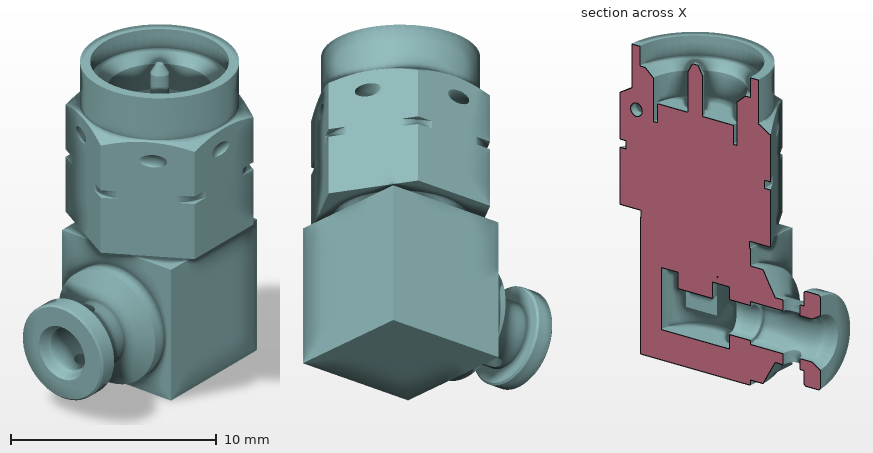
import cadquery as cq
import math

total_height = 16.15
port_end_y = -7.65

body_width = 6.75
body_height = 7.19
neck_diameter = 6.65

hex_flats = 8.0
hex_bottom = 7.55
hex_top = 13.85
hex_corner_radius = hex_flats / math.sqrt(3)
hex_turn = 30.0
ring_diameter = 7.75
chamfer_angle = 30.0

groove_bottom = 10.56
groove_height = 0.4
groove_root_radius = 4.25

wire_hole_diameter = 0.68
wire_hole_z = 12.76
wire_hole_radius_from_axis = 3.6
wire_hole_count = 3

socket_radius = 3.38
socket_depth = 1.03
lead_in_top_radius = 3.07
lead_in_bottom_radius = 2.55
lead_in_height = 0.44
sleeve_radius = 2.34
sleeve_top = 13.4
sleeve_gap_depth = 1.0

contact_radius = 0.45
contact_tip_radius = 0.18
contact_top = 16.02
contact_tip_angle = 30.0

port_axis_z = 3.28
shoulder_radius = 3.0
shoulder_length = 0.78
port_neck_radius = 1.71
port_cone_angle = 30.0
flange_radius = 2.5
flange_thickness = 1.02
flange_chamfer = 0.1
countersink_radius = 1.42
countersink_angle = 30.0
port_bore_radius = 1.11
port_inner_radius = 0.9
cross_hole_diameter = 1.0
cross_hole_y = -5.88

chamber_radius = 2.07
chamber_bottom = 1.62
chamber_top = 4.85
fork_radius = 1.08
fork_bottom = 2.89
fork_slot_width = 1.03
fork_slot_top = 3.99


def tan_deg(angle):
    return math.tan(math.radians(angle))


def cylinder(radius, bottom, top):
    """Solid cylinder on the Z axis."""
    return cq.Workplane("XY").workplane(offset=bottom).circle(radius).extrude(top - bottom)


def revolve_about_z(points):
    """Revolve a closed (radius, z) outline about the Z axis."""
    return cq.Workplane("XZ").polyline(points).close().revolve(360, (0, 0, 0), (0, 1, 0))


def revolve_about_port(points):
    """Revolve a closed (radius, y) outline about the port axis."""
    return (
        cq.Workplane("XY", origin=(0, 0, port_axis_z))
        .polyline(points)
        .close()
        .revolve(360, (0, 0, 0), (0, 1, 0))
    )


def make_body():
    block = cq.Workplane("XY").rect(body_width, body_width).extrude(body_height)
    return block.union(cylinder(neck_diameter / 2, 0, hex_bottom))


def make_hexagon():
    """Hexagon with corners on the Y axis and its top corners bevelled."""
    hexagon = (
        cq.Workplane("XY")
        .workplane(offset=hex_bottom)
        .polygon(6, 2 * hex_corner_radius)
        .extrude(hex_top - hex_bottom)
        .rotate((0, 0, 0), (0, 0, 1), hex_turn)
    )
    ring_radius = ring_diameter / 2
    bevel_drop = (hex_corner_radius - ring_radius) * tan_deg(chamfer_angle)
    bevel_envelope = revolve_about_z([
        (0, hex_bottom),
        (hex_corner_radius, hex_bottom),
        (hex_corner_radius, hex_top - bevel_drop),
        (ring_radius, hex_top),
        (0, hex_top),
    ])
    return hexagon.intersect(bevel_envelope)


def make_corner_groove():
    groove_top = groove_bottom + groove_height
    outside = cylinder(hex_flats, groove_bottom, groove_top)
    return outside.cut(cylinder(groove_root_radius, groove_bottom, groove_top))


def make_wire_hole(angle):
    """Hole square to a corner's radius, reaching both neighbouring faces."""
    return (
        cq.Workplane("YZ")
        .center(wire_hole_radius_from_axis, wire_hole_z)
        .circle(wire_hole_diameter / 2)
        .extrude(hex_flats / 2, both=True)
        .rotate((0, 0, 0), (0, 0, 1), angle)
    )


def make_nut():
    nut = make_hexagon().union(cylinder(ring_diameter / 2, hex_bottom, total_height))
    nut = nut.cut(make_corner_groove())
    for index in range(wire_hole_count):
        nut = nut.cut(make_wire_hole(index * 360 / wire_hole_count))
    return nut


def make_socket():
    """Stepped opening of the nut with a ring-shaped gap around the sleeve."""
    socket_floor = total_height - socket_depth
    lead_in_bottom = socket_floor - lead_in_height
    gap_floor = sleeve_top - sleeve_gap_depth
    return revolve_about_z([
        (0, sleeve_top),
        (sleeve_radius, sleeve_top),
        (sleeve_radius, gap_floor),
        (lead_in_bottom_radius, gap_floor),
        (lead_in_bottom_radius, lead_in_bottom),
        (lead_in_top_radius, socket_floor),
        (socket_radius, socket_floor),
        (socket_radius, total_height),
        (0, total_height),
    ])


def make_contact():
    """Round contact pin with a tapered tip, rooted in the sleeve."""
    tip_height = (contact_radius - contact_tip_radius) / tan_deg(contact_tip_angle)
    return revolve_about_z([
        (0, chamber_top),
        (contact_radius, chamber_top),
        (contact_radius, contact_top - tip_height),
        (contact_tip_radius, contact_top),
        (0, contact_top),
    ])


def make_port():
    """Shoulder, cone, neck and end flange of the cable port, rooted inside the body."""
    shoulder_end = -body_width / 2 - shoulder_length
    cone_end = shoulder_end - (shoulder_radius - port_neck_radius) * tan_deg(port_cone_angle)
    flange_start = port_end_y + flange_thickness
    return revolve_about_port([
        (0, 0),
        (shoulder_radius, 0),
        (shoulder_radius, shoulder_end),
        (port_neck_radius, cone_end),
        (port_neck_radius, flange_start),
        (flange_radius - flange_chamfer, flange_start),
        (flange_radius, flange_start - flange_chamfer),
        (flange_radius, port_end_y + flange_chamfer),
        (flange_radius - flange_chamfer, port_end_y),
        (0, port_end_y),
    ])


def make_port_bore():
    """Countersunk bore that steps down at the body face and meets the chamber."""
    countersink_depth = (countersink_radius - port_bore_radius) / tan_deg(countersink_angle)
    return revolve_about_port([
        (0, port_end_y),
        (countersink_radius, port_end_y),
        (port_bore_radius, port_end_y + countersink_depth),
        (port_bore_radius, -body_width / 2),
        (port_inner_radius, -body_width / 2),
        (port_inner_radius, 0),
        (0, 0),
    ])


def make_cross_hole():
    return (
        cq.Workplane("XY", origin=(0, cross_hole_y, port_axis_z))
        .circle(cross_hole_diameter / 2)
        .extrude(flange_radius, both=True)
    )


def make_fork():
    """Lower end of the contact, slotted along Y to take the cable core."""
    slot = (
        cq.Workplane("XY")
        .workplane(offset=fork_bottom)
        .rect(fork_slot_width, 2 * fork_radius)
        .extrude(fork_slot_top - fork_bottom)
    )
    return cylinder(fork_radius, fork_bottom, chamber_top).cut(slot)


result = make_body().union(make_nut()).cut(make_socket()).union(make_contact())
result = result.union(make_port())
result = result.cut(make_port_bore()).cut(make_cross_hole())
result = result.cut(cylinder(chamber_radius, chamber_bottom, chamber_top)).union(make_fork())